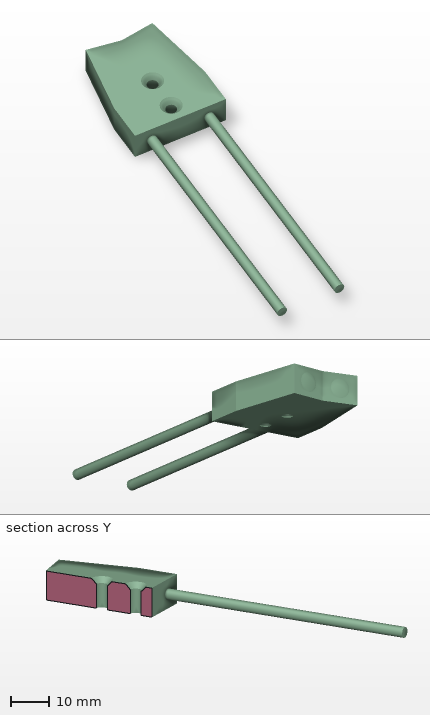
import cadquery as cq
import math

total_length = 103
body_length = 33.0
rear_width = 27.0
front_width = 19.8
thickness = 8.0
taper_length = 21.8
notch_depth = 1.5

hole_diameter = 3.1
countersink_diameter = 6.0
countersink_angle = 90
hole_spacing = 10.0
rear_hole_to_rear = 4.9

rod_diameter = 2.9
rod_spacing = 17.0

dome_diameter = 5.3
dome_height = 0.3

front_half_width = front_width / 2
rear_half_width = rear_width / 2
face_angle = math.degrees(math.atan2(notch_depth, front_half_width))


def make_body():
    outline = [
        (notch_depth, 0),
        (0, front_half_width),
        (taper_length, rear_half_width),
        (body_length, rear_half_width),
        (body_length, -rear_half_width),
        (taper_length, -rear_half_width),
        (0, -front_half_width),
    ]
    return cq.Workplane("XY").workplane(offset=-thickness / 2).polyline(outline).close().extrude(thickness)


def drill_mounting_holes(body):
    rear_hole_x = body_length - rear_hole_to_rear
    hole_centres = [(rear_hole_x - hole_spacing, 0), (rear_hole_x, 0)]
    return (
        body.faces(">Z")
        .workplane(origin=(0, 0, thickness / 2))
        .pushPoints(hole_centres)
        .cskHole(hole_diameter, countersink_diameter, countersink_angle)
    )


def make_rod(side):
    return (
        cq.Workplane("YZ", origin=(body_length, side * rod_spacing / 2, 0))
        .circle(rod_diameter / 2)
        .extrude(total_length - body_length)
    )


def make_dome(side):
    """Spherical cap standing on the front face half at +Y (side 1) or -Y (side -1)."""
    dome_radius = dome_diameter / 2
    sphere_radius = (dome_radius**2 + dome_height**2) / (2 * dome_height)
    sphere = cq.Workplane("XY").sphere(sphere_radius).translate((sphere_radius - dome_height, 0, 0))
    embed_depth = 0.1
    cap_length = dome_height + embed_depth
    trim = cq.Workplane("YZ", origin=(-dome_height, 0, 0)).circle(dome_radius).extrude(cap_length)
    return (
        sphere.intersect(trim)
        .rotate((0, 0, 0), (0, 0, 1), side * face_angle)
        .translate((notch_depth / 2, side * front_half_width / 2, 0))
    )


result = drill_mounting_holes(make_body())
for side in (-1, 1):
    result = result.union(make_rod(side)).union(make_dome(side))